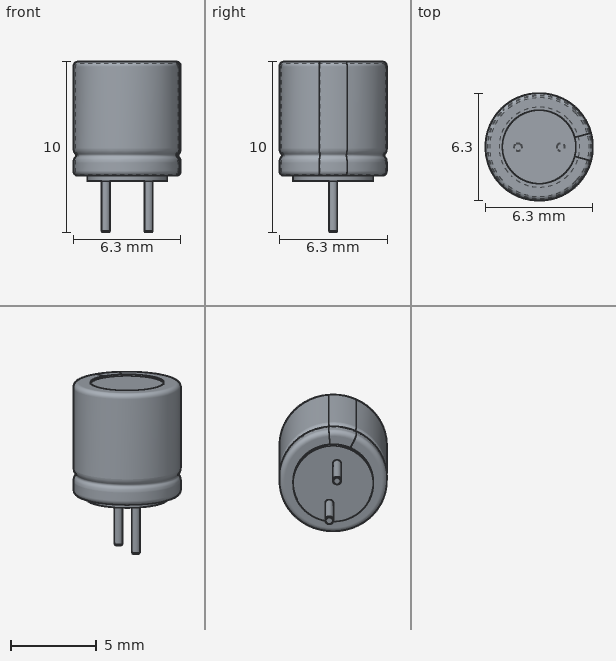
import cadquery as cq
import math

sleeve_radius = 3.15
sleeve_thickness = 0.1
sleeve_top = 10.0
sleeve_bottom = 3.3
edge_radius = 0.3
top_opening_radius = 2.15
groove_height = 4.5
groove_half_width = 0.4
groove_depth = 0.15
groove_floor_half_width = 0.09
stripe_half_angle = 15.0
base_radius = 2.35
base_bottom = 3.0
pin_radius = 0.25
pin_spacing = 2.5
pin_chamfer_width = 0.05
pin_chamfer_height = 0.09

can_radius = sleeve_radius - sleeve_thickness
can_top = sleeve_top - sleeve_thickness
can_bottom = sleeve_bottom + sleeve_thickness
groove_top = groove_height + groove_half_width
groove_base = groove_height - groove_half_width

groove_angle = 2 * math.atan(groove_depth / groove_half_width)
floor_arc_radius = groove_floor_half_width / math.sin(groove_angle)
shoulder_arc_radius = groove_half_width / math.sin(groove_angle) - floor_arc_radius


def revolve_profile(profile, angle=360.0):
    """Revolve an outline drawn as (radius, height) about the Z axis, starting at +X."""
    return profile.close().revolve(angle, (0, 0, 0), (0, 1, 0))


def crimped_outline(radius, bottom, top, corner, inset):
    """Open outline from the axis, up the grooved wall and back to the axis.

    The inset moves the groove's arcs inward along their normals, parallel to the outer wall.
    """
    shoulder = shoulder_arc_radius - inset
    floor = floor_arc_radius + inset
    shoulder_center = radius - shoulder
    floor_bottom_radius = radius - groove_depth

    def shoulder_point(side, angle):
        return (
            shoulder_center + shoulder * math.cos(angle),
            groove_height + side * (groove_half_width - shoulder * math.sin(angle)),
        )

    corner_mid = corner * (1 - math.sqrt(0.5))
    return (
        cq.Workplane("XZ")
        .moveTo(0, bottom)
        .lineTo(radius - corner, bottom)
        .threePointArc((radius - corner_mid, bottom + corner_mid), (radius, bottom + corner))
        .lineTo(radius, groove_base)
        .threePointArc(shoulder_point(-1, groove_angle / 2), shoulder_point(-1, groove_angle))
        .threePointArc((floor_bottom_radius, groove_height), shoulder_point(1, groove_angle))
        .threePointArc(shoulder_point(1, groove_angle / 2), (radius, groove_top))
        .lineTo(radius, top - corner)
        .threePointArc((radius - corner_mid, top - corner_mid), (radius - corner, top))
        .lineTo(0, top)
    )


def cylinder(radius, bottom, top):
    return cq.Workplane("XY").workplane(offset=bottom).circle(radius).extrude(top - bottom)


def make_can_blank():
    outline = crimped_outline(
        can_radius, can_bottom, can_top, edge_radius - sleeve_thickness, sleeve_thickness
    )
    return revolve_profile(outline)


def make_sleeve_sector(start_angle, sweep):
    """Part of the sleeve between two angles, hollowed to fit the can and base."""
    outline = crimped_outline(sleeve_radius, sleeve_bottom, sleeve_top, edge_radius, 0.0)
    return (
        revolve_profile(outline, sweep)
        .rotate((0, 0, 0), (0, 0, 1), start_angle)
        .cut(make_can_blank())
        .cut(cylinder(top_opening_radius, can_top, sleeve_top))
        .cut(cylinder(base_radius, sleeve_bottom, can_bottom))
    )


def make_base():
    """Sealing disc that closes the sleeve's lower opening."""
    return cylinder(base_radius, base_bottom, can_bottom)


def make_pin(x):
    """Lead with a bevelled tip, ending at the underside of the base."""
    profile = (
        cq.Workplane("XZ")
        .lineTo(pin_radius - pin_chamfer_width, 0)
        .lineTo(pin_radius, pin_chamfer_height)
        .lineTo(pin_radius, base_bottom)
        .lineTo(0, base_bottom)
    )
    return revolve_profile(profile).translate((x, 0, 0))


can = make_can_blank()
stripe_sweep = 2 * stripe_half_angle
stripe = make_sleeve_sector(-stripe_half_angle, stripe_sweep)
sleeve = make_sleeve_sector(stripe_half_angle, 360.0 - stripe_sweep)
base = make_base()
pins = [make_pin(side * pin_spacing / 2) for side in (-1, 1)]

result = cq.Compound.makeCompound(
    [can.val(), sleeve.val(), stripe.val(), base.val(), *[pin.val() for pin in pins]]
)